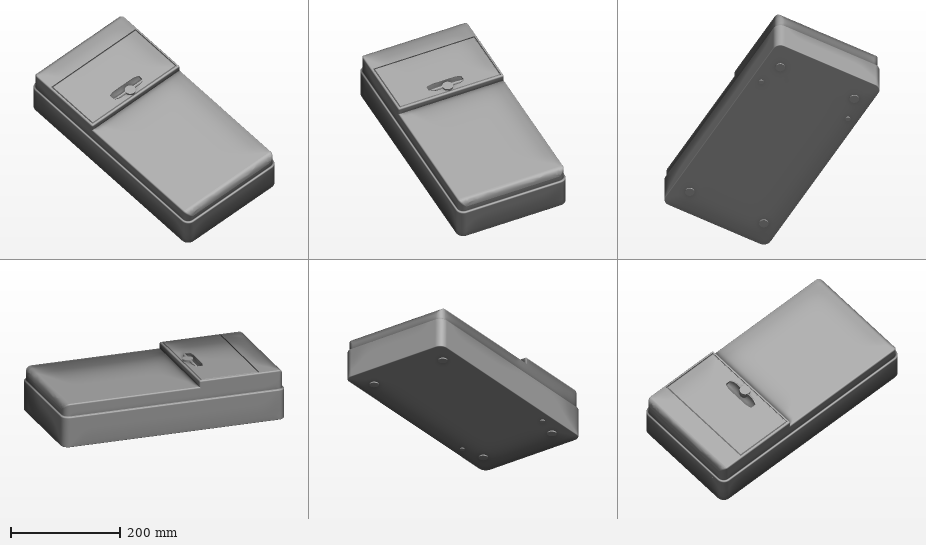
import cadquery as cq

LENGTH = 435.0
WIDTH = 220.0
CORNER_RADIUS = 15.0

BASE_BOTTOM = 2.0
SEAM = 52.5
SHOULDER = 61.0
LOW_TOP = 85.3
HIGH_TOP = 97.5
BUTTON_TOP = 101.5

BOTTOM_ROUNDING = 1.5
LARGE_FOOT_DIAMETER = 17.5
LARGE_FOOT_X = 170.0
LARGE_FOOT_Y = 77.5
SMALL_FOOT_DIAMETER = 9.0
SMALL_FOOT_X = -122.5
SMALL_FOOT_Y = 90.5

SHOULDER_ROUNDING = 2.0
SHOULDER_COVE = 1.1
EDGE_MARGIN = 0.5
COVER_INSET = 3.5
COVER_CORNER_RADIUS = 12.0
COVER_LENGTH = LENGTH - 2 * COVER_INSET
COVER_WIDTH = WIDTH - 2 * COVER_INSET
STEP_X = -49.5
EDGE_ROUNDING = 2.5
HIGH_END_RUN = 9.5
LOW_END_RUN = 12.0
END_DROP = 13.5

DOOR_LEFT = -168.0
DOOR_RIGHT = -53.5
DOOR_WIDTH = 205.0
DOOR_GAP = 1.5
DOOR_BEVEL = 1.5
DOOR_HINGE_BEVEL = DOOR_GAP + DOOR_BEVEL
DOOR_GROOVE_DEPTH = 2.5

SCOOP_X = -77.0
SCOOP_RADIUS = 8.3
SCOOP_STRAIGHT = 39.0
SCOOP_END_LENGTH = 15.5
SCOOP_TIP_RATIO = 0.6
SCOOP_BEND_RATIO = 0.9

RIDGE_RIGHT = -65.2
RIDGE_EMBED = 2.0
RIDGE_ROOT = HIGH_TOP - RIDGE_EMBED
RIDGE_CREST_X = -68.7
RIDGE_TURN_RADIUS = 31.5
RIDGE_TURN = 35.0

BUTTON_ROOT = HIGH_TOP - SCOOP_RADIUS
BUTTON_X = -65.5
BUTTON_DIAMETER = 20.0


def rounded_block(length, width, bottom, top, corner_radius):
    """Upright block, centred in X and Y, with rounded vertical corners."""
    block = cq.Workplane("XY").workplane(offset=bottom).rect(length, width).extrude(top - bottom)
    return block.edges("|Z").fillet(corner_radius)


def foot(x, y, diameter):
    return cq.Workplane("XY").center(x, y).circle(diameter / 2).extrude(BASE_BOTTOM)


def make_base():
    base = rounded_block(LENGTH, WIDTH, BASE_BOTTOM, SEAM, CORNER_RADIUS)
    base = base.faces("<Z").edges().fillet(BOTTOM_ROUNDING)
    for side in (-1, 1):
        for end in (-1, 1):
            base = base.union(foot(end * LARGE_FOOT_X, side * LARGE_FOOT_Y, LARGE_FOOT_DIAMETER))
        base = base.union(foot(SMALL_FOOT_X, side * SMALL_FOOT_Y, SMALL_FOOT_DIAMETER))
    return base


def make_flange():
    """Skirt that continues the base outline above the seam and ends in a rounded shoulder."""
    flange = rounded_block(LENGTH, WIDTH, SEAM, SHOULDER, CORNER_RADIUS)
    return flange.faces(">Z").edges().fillet(SHOULDER_ROUNDING)


def make_upper_part():
    """Stepped upper part of the cover, with rounded ends, corners and side edges."""
    end_x = COVER_LENGTH / 2
    profile = (
        cq.Workplane("XZ", origin=(0, COVER_WIDTH / 2, 0))
        .moveTo(-end_x, SEAM)
        .lineTo(-end_x, HIGH_TOP - END_DROP)
        .ellipseArc(HIGH_END_RUN, END_DROP, 90, 180, sense=-1)
        .lineTo(STEP_X, HIGH_TOP)
        .lineTo(STEP_X, LOW_TOP)
        .lineTo(end_x - LOW_END_RUN, LOW_TOP)
        .ellipseArc(LOW_END_RUN, END_DROP, 0, 90, sense=-1)
        .lineTo(end_x, SEAM)
        .close()
        .extrude(COVER_WIDTH)
    )
    plan = rounded_block(COVER_LENGTH, COVER_WIDTH, SEAM, HIGH_TOP, COVER_CORNER_RADIUS)
    upper = profile.intersect(plan)

    side_edges = upper.faces("<Y or >Y").edges("(|X and (not <Z)) or (|Z and (not (<X or >X)))")
    step_edge = upper.faces(">Z").edges(">X")
    return upper.newObject(side_edges.vals() + step_edge.vals()).fillet(EDGE_ROUNDING)


def make_cover_shell():
    """Flange and upper part, with a small cove where the upper part rises from the shoulder."""
    shell = make_upper_part().union(make_flange())
    reach_x = COVER_LENGTH / 2 + EDGE_MARGIN
    reach_y = COVER_WIDTH / 2 + EDGE_MARGIN
    foot_of_wall = cq.selectors.BoxSelector(
        (-reach_x, -reach_y, SHOULDER - EDGE_MARGIN),
        (reach_x, reach_y, SHOULDER + EDGE_MARGIN),
    )
    return shell.edges(foot_of_wall).fillet(SHOULDER_COVE)


def make_door_groove():
    """Ring-shaped cutter: the door opening less the bevelled door panel that stays in it."""
    opening = (
        cq.Workplane("XY", origin=((DOOR_LEFT + DOOR_RIGHT) / 2, 0, HIGH_TOP))
        .rect(DOOR_RIGHT - DOOR_LEFT, DOOR_WIDTH)
        .extrude(-DOOR_GROOVE_DEPTH)
    )
    foot_right = DOOR_RIGHT - DOOR_GAP
    foot_half_width = DOOR_WIDTH / 2 - DOOR_GAP
    top_left = DOOR_LEFT + DOOR_HINGE_BEVEL
    top_right = foot_right - DOOR_BEVEL
    top_half_width = foot_half_width - DOOR_BEVEL
    panel = (
        cq.Workplane("XY", origin=((DOOR_LEFT + foot_right) / 2, 0, HIGH_TOP - DOOR_GROOVE_DEPTH))
        .rect(foot_right - DOOR_LEFT, 2 * foot_half_width)
        .workplane(offset=DOOR_GROOVE_DEPTH)
        .center((top_left + top_right - DOOR_LEFT - foot_right) / 2, 0)
        .rect(top_right - top_left, 2 * top_half_width)
        .loft(ruled=True)
    )
    return opening.cut(panel)


def pill_outline(workplane, half_width):
    """Half outline of a blunt-ended pill along Y, from its long axis out to `half_width` in X."""
    straight_y = SCOOP_STRAIGHT / 2
    tip_y = straight_y + SCOOP_END_LENGTH
    tip_x = SCOOP_TIP_RATIO * half_width
    bend_x = SCOOP_BEND_RATIO * half_width
    bend_y = straight_y + SCOOP_END_LENGTH / 2
    return (
        workplane.moveTo(0, -tip_y)
        .lineTo(tip_x, -tip_y)
        .threePointArc((bend_x, -bend_y), (half_width, -straight_y))
        .lineTo(half_width, straight_y)
        .threePointArc((bend_x, bend_y), (tip_x, tip_y))
        .lineTo(0, tip_y)
        .close()
    )


def make_scoop():
    """Cutter: a trough turned about its long axis, open straight up above the cover."""
    scoop_plane = cq.Workplane("XY", origin=(SCOOP_X, 0, HIGH_TOP))
    trough = pill_outline(scoop_plane, SCOOP_RADIUS).revolve(360, (0, 0, 0), (0, 1, 0))
    right_half = pill_outline(scoop_plane, SCOOP_RADIUS).extrude(SCOOP_RADIUS)
    left_half = right_half.mirror("YZ", (SCOOP_X, 0, 0))
    return trough.union(right_half).union(left_half)


def make_ridge():
    """Thumb ridge beside the scoop: straight in the middle, sinking into the cover at both ends."""
    straight_y = SCOOP_STRAIGHT / 2

    def section(y):
        return (
            cq.Workplane("XZ", origin=(0, y, 0))
            .moveTo(SCOOP_X, RIDGE_ROOT)
            .lineTo(SCOOP_X, BUTTON_TOP)
            .lineTo(RIDGE_CREST_X, BUTTON_TOP)
            .ellipseArc(RIDGE_RIGHT - RIDGE_CREST_X, BUTTON_TOP - HIGH_TOP, 0, 90, sense=-1)
            .lineTo(RIDGE_RIGHT, RIDGE_ROOT)
            .close()
        )

    axis_z = BUTTON_TOP - RIDGE_TURN_RADIUS
    ridge = section(straight_y).extrude(SCOOP_STRAIGHT)
    end = section(straight_y).revolve(RIDGE_TURN, (0, axis_z, 0), (-1, axis_z, 0))
    ridge = ridge.union(end).union(end.mirror("XZ"))

    ridge_plane = cq.Workplane("XY", origin=(SCOOP_X, 0, RIDGE_ROOT))
    plan = pill_outline(ridge_plane, RIDGE_RIGHT - SCOOP_X).extrude(BUTTON_TOP - RIDGE_ROOT)
    return ridge.intersect(plan)


def make_button():
    return (
        cq.Workplane("XY", origin=(BUTTON_X, 0, BUTTON_ROOT))
        .circle(BUTTON_DIAMETER / 2)
        .extrude(BUTTON_TOP - BUTTON_ROOT)
    )


def make_cover():
    cover = make_cover_shell()
    cover = cover.cut(make_door_groove())
    cover = cover.union(make_ridge())
    cover = cover.cut(make_scoop())
    return cover.union(make_button())


base = make_base()
cover = make_cover()
result = cq.Compound.makeCompound([base.val(), cover.val()])